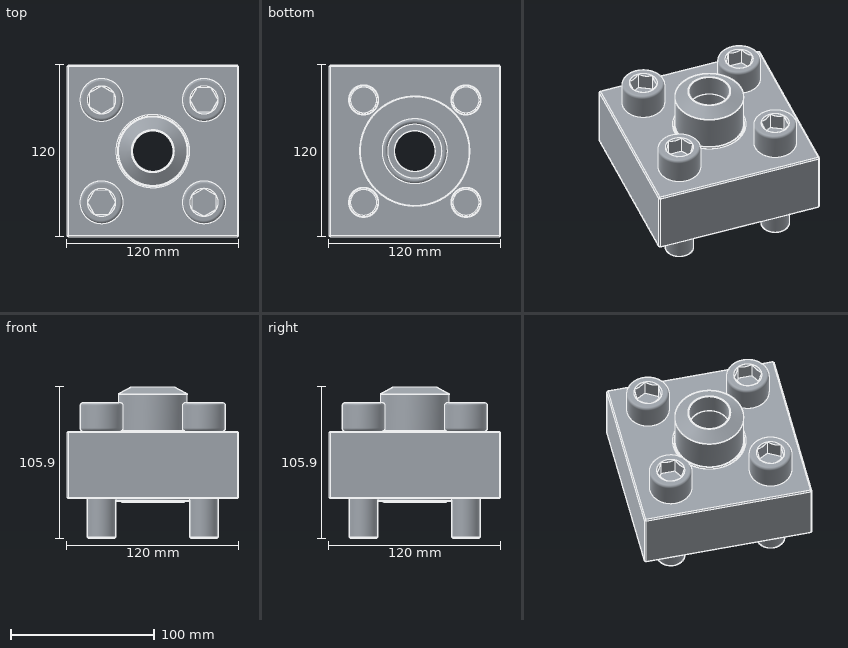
import cadquery as cq
import math

block_side = 120.0
block_height = 47.0
block_chamfer = 1.0
neck_hole_diameter = 49.5
neck_hole_chamfer = 1.0
bolt_hole_diameter = 21.0

neck_diameter = 48.0
neck_rise = 31.1
weld_bevel_height = 4.9
weld_land_diameter = 48.2
weld_land_height = 0.5
neck_base_diameter = 49.0
neck_base_height = 0.5
collar_diameter = 77.0
collar_chamfer = 0.5
collar_height = 19.2
collar_protrusion = 1.9
bore_diameter = 28.3
upper_bore_diameter = 28.5
upper_bore_depth = 15.5
weld_face_diameter = 30.0

ring_inner_diameter = 37.7
ring_outer_diameter = 45.5
ring_protrusion = 0.8

bolt_count = 4
first_bolt_angle = 45.0
bolt_spacing = 71.5
shank_diameter = 20.0
bolt_protrusion = 27.8
tip_chamfer = 1.0
head_diameter = 30.0
head_height = 20.0
head_fillet = 2.0
hex_sides = 6
hex_corner_diameter = 19.7
hex_depth = 12.6

block_bottom = -block_height
collar_bottom = block_bottom - collar_protrusion
collar_top = collar_bottom + collar_height
ring_section = (ring_outer_diameter - ring_inner_diameter) / 2
ring_centre_radius = (ring_outer_diameter + ring_inner_diameter) / 4
ring_centre_height = collar_bottom - ring_protrusion + ring_section / 2
groove_top = ring_centre_height + ring_section / 2
hex_flat_diameter = hex_corner_diameter * math.cos(math.pi / hex_sides)
bolt_circle_radius = bolt_spacing / math.sqrt(2)


def cylinder(diameter, bottom, top):
    """Upright cylinder on the Z axis between two heights."""
    return cq.Workplane("XY").workplane(offset=bottom).circle(diameter / 2).extrude(top - bottom)


def cone(bottom_diameter, top_diameter, bottom, top):
    """Upright truncated cone on the Z axis between two heights."""
    axis = cq.Vector(0, 0, 1)
    base = cq.Vector(0, 0, bottom)
    return cq.Workplane(cq.Solid.makeCone(bottom_diameter / 2, top_diameter / 2, top - bottom, base, axis))


def make_block():
    """Square block with a neck hole, a recess for the collar and four bolt holes."""
    block = cq.Workplane("XY").workplane(offset=block_bottom).rect(block_side, block_side)
    block = block.extrude(block_height).edges().chamfer(block_chamfer)
    mouth_diameter = neck_hole_diameter + 2 * neck_hole_chamfer
    block = block.cut(cylinder(neck_hole_diameter, block_bottom, 0))
    block = block.cut(cone(neck_hole_diameter, mouth_diameter, -neck_hole_chamfer, 0))
    block = block.cut(cylinder(collar_diameter, block_bottom, collar_top))
    holes = cq.Workplane("XY").workplane(offset=block_bottom)
    holes = holes.rect(bolt_spacing, bolt_spacing, forConstruction=True).vertices()
    holes = holes.circle(bolt_hole_diameter / 2).extrude(block_height)
    return block.cut(holes)


def make_nipple():
    """Collared, stepped neck with a bevelled weld end, a stepped bore and a ring groove underneath."""
    bevel_bottom = neck_rise - weld_bevel_height
    neck_top = bevel_bottom - weld_land_height
    nipple = cylinder(collar_diameter, collar_bottom, collar_top).faces("<Z").edges().chamfer(collar_chamfer)
    nipple = nipple.union(cylinder(neck_base_diameter, collar_bottom, neck_base_height))
    nipple = nipple.union(cylinder(neck_diameter, collar_bottom, neck_top))
    nipple = nipple.union(cylinder(weld_land_diameter, neck_top, bevel_bottom))
    nipple = nipple.union(cone(weld_land_diameter, weld_face_diameter, bevel_bottom, neck_rise))
    nipple = nipple.cut(cylinder(bore_diameter, collar_bottom, neck_rise))
    nipple = nipple.cut(cylinder(upper_bore_diameter, neck_rise - upper_bore_depth, neck_rise))
    groove = cylinder(ring_outer_diameter, collar_bottom, groove_top)
    groove = groove.cut(cylinder(ring_inner_diameter, collar_bottom, groove_top))
    return nipple.cut(groove)


def make_ring():
    """Round-section sealing ring that stands slightly proud of the collar."""
    centre = cq.Vector(0, 0, ring_centre_height)
    axis = cq.Vector(0, 0, 1)
    return cq.Workplane(cq.Solid.makeTorus(ring_centre_radius, ring_section / 2, centre, axis))


def make_bolt(angle):
    """Bolt at the given angle about the Z axis; the first one has a hexagon corner on +X."""
    head = cylinder(head_diameter, 0, head_height).edges("%CIRCLE").fillet(head_fillet)
    shank = cylinder(shank_diameter, block_bottom - bolt_protrusion, 0)
    shank = shank.faces("<Z").edges().chamfer(tip_chamfer)
    bolt = head.union(shank)

    hexagon = cq.Workplane("XY").workplane(offset=head_height - hex_depth)
    hexagon = hexagon.polygon(hex_sides, hex_corner_diameter).extrude(hex_depth)
    countersink_depth = (hex_corner_diameter - hex_flat_diameter) / 2
    countersink = cone(hex_flat_diameter, hex_corner_diameter, head_height - countersink_depth, head_height)
    bolt = bolt.cut(hexagon).cut(countersink)

    bolt = bolt.rotate((0, 0, 0), (0, 0, 1), -first_bolt_angle)
    bolt = bolt.translate((bolt_circle_radius, 0, 0))
    return bolt.rotate((0, 0, 0), (0, 0, 1), angle)


block = make_block()
nipple = make_nipple()
ring = make_ring()
bolts = [make_bolt(first_bolt_angle + index * 360 / bolt_count) for index in range(bolt_count)]

result = cq.Compound.makeCompound([block.val(), nipple.val(), ring.val(), *[bolt.val() for bolt in bolts]])